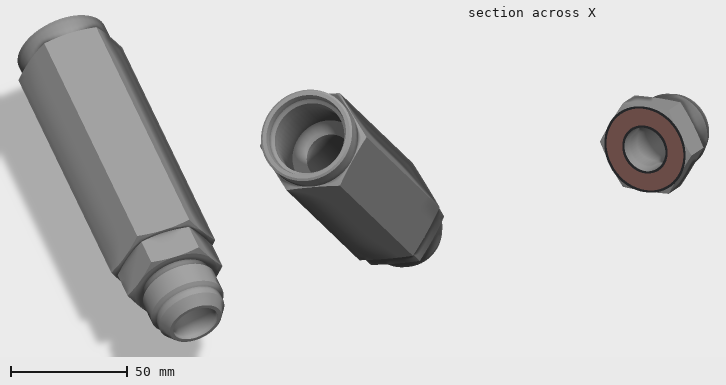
import cadquery as cq
import math

overall_length = 158.4

housing_corners = 47.7
housing_end = 121.3
boss_diameter = 40.7
boss_length = 9.3
boss_chamfer_length = 0.6
boss_chamfer_height = 1.0

port_mouth_diameter = 35.5
seal_cone_diameter = 34.0
seal_cone_length = 3.5
bore_diameter = 31.0
lead_in_length = 1.6
bore_depth = 31.7
throat_diameter = 20.3
throat_cone_angle = 59.0

adapter_corners = 43.5
adapter_hex_end = 135.1
neck_diameter = 30.4
thread_diameter = 33.3
thread_start = 138.9
thread_end = 148.5
thread_start_chamfer = 0.5
nose_diameter = 30.0
nose_start = 150.3
nose_cone_start = 153.8
nose_tip_diameter = 23.8

hex_chamfer_angle = 20.0


def revolve_profile(points):
    """Turn a closed (x, radius) profile about the X axis."""
    return cq.Workplane("XY").polyline(points).close().revolve(360, (0, 0, 0), (1, 0, 0))


def chamfered_hexagon(corners, start, end):
    """Hexagonal bar along X with flats on top and bottom and coned corners at both ends."""
    corner_radius = corners / 2
    flat_radius = corner_radius * math.cos(math.pi / 6)
    chamfer_length = (corner_radius - flat_radius) * math.tan(math.radians(hex_chamfer_angle))
    bar = cq.Workplane("YZ", origin=(start, 0, 0)).polygon(6, corners).extrude(end - start)
    envelope = revolve_profile([
        (start, 0),
        (start, flat_radius),
        (start + chamfer_length, corner_radius),
        (end - chamfer_length, corner_radius),
        (end, flat_radius),
        (end, 0),
    ])
    return bar.intersect(envelope)


def housing_boss():
    """Round boss with a chamfered rim, reaching up to the hexagon."""
    radius = boss_diameter / 2
    return revolve_profile([
        (0, 0),
        (0, radius - boss_chamfer_height),
        (boss_chamfer_length, radius),
        (boss_length, radius),
        (boss_length, 0),
    ])


def housing_passage():
    """Port, bore and cone down to the throat, which runs on to the adapter."""
    bore_radius = bore_diameter / 2
    throat_radius = throat_diameter / 2
    cone_length = (bore_radius - throat_radius) / math.tan(math.radians(throat_cone_angle))
    return revolve_profile([
        (0, 0),
        (0, port_mouth_diameter / 2),
        (seal_cone_length, seal_cone_diameter / 2),
        (seal_cone_length + lead_in_length, bore_radius),
        (bore_depth, bore_radius),
        (bore_depth + cone_length, throat_radius),
        (housing_end, throat_radius),
        (housing_end, 0),
    ])


def make_housing():
    hexagon = chamfered_hexagon(housing_corners, boss_length, housing_end)
    return hexagon.union(housing_boss()).cut(housing_passage())


def adapter_spigot():
    """Round end of the adapter: neck, thread at its outer diameter and cone nose."""
    neck_radius = neck_diameter / 2
    thread_radius = thread_diameter / 2
    nose_radius = nose_diameter / 2
    return revolve_profile([
        (adapter_hex_end, 0),
        (adapter_hex_end, neck_radius),
        (thread_start - thread_start_chamfer, neck_radius),
        (thread_start, thread_radius),
        (thread_end, thread_radius),
        (nose_start, nose_radius),
        (nose_cone_start, nose_radius),
        (overall_length, nose_tip_diameter / 2),
        (overall_length, 0),
    ])


def make_adapter():
    hexagon = chamfered_hexagon(adapter_corners, housing_end, adapter_hex_end)
    bore_length = overall_length - housing_end
    bore = cq.Workplane("YZ", origin=(housing_end, 0, 0)).circle(throat_diameter / 2).extrude(bore_length)
    return hexagon.union(adapter_spigot()).cut(bore)


housing = make_housing()
adapter = make_adapter()

result = cq.Compound.makeCompound([housing.val(), adapter.val()])